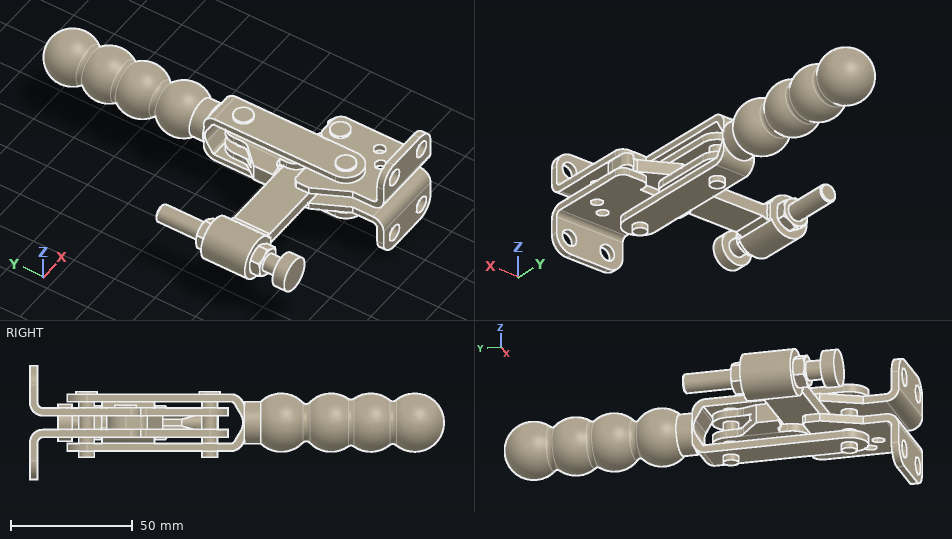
import cadquery as cq
import math


HANDLE_PIVOT = (0, 23.3)
ARM_PIVOT = (20.0, 39.4)
LINK_ARM_PIVOT = (0, 47.7)
LINK_HANDLE_PIVOT = (0, 74.0)
PIN_RADIUS = 3.2
PIN_HEAD_DIAMETER = 8.7
PIN_HEAD_RADIUS = PIN_HEAD_DIAMETER / 2
PIN_HEAD_THICKNESS = 1.0
LONG_PIN_BOTTOM = -14.3

ARM_THICKNESS = 5.6
SHEET_THICKNESS = 3.2
GAP_HALF = ARM_THICKNESS / 2
SHEET_OUTER = GAP_HALF + SHEET_THICKNESS

BASE_LEFT = -7.2
BASE_RIGHT = 27.8
LOBE_LEFT = -15.2
LOBE_TOP = 39.4
LOBE_STRAIGHT_BOTTOM = 31.5
LOBE_CORNER = 1.5
LOBE_FOOT = 15.3
TAB_LEFT = 12.5
TAB_TOP = 45.7
TAB_RADIUS = 4.1
BASE_HEIGHT = 46.9
FLANGE_HALF_HEIGHT = BASE_HEIGHT / 2
BEND_INNER_RADIUS = 2.2
BEND_OUTER_RADIUS = BEND_INNER_RADIUS + SHEET_THICKNESS
FLANGE_CORNER_RADIUS = 7.8
MOUNT_HOLES_X = (1.0, 21.0)
MOUNT_HOLE_Z = 15.8
MOUNT_HOLE_DIAMETER = 7.3
MOUNT_HOLE_RADIUS = MOUNT_HOLE_DIAMETER / 2
STOP_HOLES = ((20.0, 20.0), (12.6, 14.5))
STOP_HOLE_RADIUS = 2.5

ARM_TOP = 49.2
ARM_BOTTOM = 31.7
ARM_END_RADIUS = ARM_PIVOT[1] - ARM_BOTTOM
ARM_RIGHT = ARM_PIVOT[0] + ARM_END_RADIUS
BOSS_LEFT = -6.0
BOSS_TOP_LEFT = -2.5
BOSS_TOP_RIGHT = 3.2
BOSS_TOP = 54.7
SLOPE_FOOT = (19.6, 46)
KNOB_RADIUS = 2.7
KNOB_CENTRE = (ARM_RIGHT - KNOB_RADIUS, 45.7)
EYE_X = -55.9
EYE_RADIUS = 9.7
EYE_BOTTOM = 29.7
EYE_TOP = 51.3
NECK_START_X = -47.7
NECK_START_HALF = 4.5
NECK_STEP_X = -46.4
NECK_END_X = -44.0

LINK_WIDTH = 15.2
LINK_HALF_WIDTH = LINK_WIDTH / 2
NOSE_ROOT_X = -LINK_HALF_WIDTH
NOSE_TIP_X = -15.2
NOSE_TIP_HALF = 4.0
NOSE_WEB_X = NOSE_TIP_X + SHEET_THICKNESS
NOSE_WEB_HALF = 1.4
NOSE_TOP = 69.2
NOSE_FILLET_FOOT = (-8.7, 66.1)
NOSE_FILLET_RADIUS = 4.8
NOSE_SHOULDER = 58.8
NOSE_NOTCH_X = -10.9
NOSE_NOTCH_RADIUS = 1.7
NOSE_NOTCH_TOP = ARM_TOP + NOSE_NOTCH_RADIUS

STRAP_WIDTH = 16.0
STRAP_OUTER = 11.8
STRAP_INNER = STRAP_OUTER - SHEET_THICKNESS
STRAP_BEND_Y = 83.3
STRAP_END_Y = 88.3
STRAP_END_HALF = 6.8
STRAP_BEND_MIDPOINT = (86.5, 10.0)
STRAP_WEB_THICKNESS = 0.7
STRAP_SLOPE_START = (84.2, 7.7)
STRAP_SLOPE_END = (86.9, 3.0)

BALL_RADIUS = 12.1
BALL_CENTRES = (103.5, 123.9, 140.2, 170.4 - BALL_RADIUS)
BALL_FILLET = 2.0
COLLAR_RADIUS = 8.7

SPINDLE_DIAMETER = 8.0
SPINDLE_RADIUS = SPINDLE_DIAMETER / 2
SPINDLE_TOP = 77.5
SPINDLE_CHAMFER = 0.5
PAD_RADIUS = 7.7
PAD_BOTTOM = 11.6
PAD_THICKNESS = 5.8
NUT_ACROSS_FLATS = 12.1
NUT_CORNER_RADIUS = NUT_ACROSS_FLATS / math.sqrt(3)
NUT_THICKNESS = 5.0
NUT_CHAMFER_HEIGHT = 0.5
NUT_CHAMFER_DEPTH = 0.9


def cylinder_along_z(centre, radius, bottom, top):
    """Cylinder parallel to Z, centred at (X, Y), between two Z levels."""
    return cq.Workplane("XY").workplane(offset=bottom).center(*centre).circle(radius).extrude(top - bottom)


def cylinder_along_y(x, radius, bottom, top):
    """Cylinder parallel to Y, centred at X and Z = 0, between two Y levels."""
    return cq.Workplane("XZ", origin=(x, bottom, 0)).circle(radius).extrude(bottom - top)


def pin(centre, bottom, seat):
    """Rivet whose head rests on the Z level `seat`."""
    shank = cylinder_along_z(centre, PIN_RADIUS, bottom, seat)
    head = cylinder_along_z(centre, PIN_HEAD_RADIUS, seat, seat + PIN_HEAD_THICKNESS)
    return shank.union(head)


def pin_hole(centre):
    """Cutter for a pin passing right through the clamp."""
    return cylinder_along_z(centre, PIN_RADIUS, -2 * STRAP_OUTER, 2 * STRAP_OUTER)


def make_bracket():
    """Upper base plate, bent outward into a mounting flange along Y = 0."""
    outline = (
        cq.Workplane("XY")
        .moveTo(BASE_LEFT, 0)
        .lineTo(BASE_RIGHT, 0)
        .lineTo(BASE_RIGHT, TAB_TOP - TAB_RADIUS)
        .radiusArc((BASE_RIGHT - TAB_RADIUS, TAB_TOP), -TAB_RADIUS)
        .lineTo(TAB_LEFT + TAB_RADIUS, TAB_TOP)
        .radiusArc((TAB_LEFT, TAB_TOP - TAB_RADIUS), -TAB_RADIUS)
        .lineTo(TAB_LEFT, LOBE_TOP)
        .lineTo(LOBE_LEFT + LOBE_CORNER, LOBE_TOP)
        .lineTo(LOBE_LEFT, LOBE_TOP - LOBE_CORNER)
        .lineTo(LOBE_LEFT, LOBE_STRAIGHT_BOTTOM)
        .lineTo(BASE_LEFT, LOBE_FOOT)
        .close()
        .extrude(FLANGE_HALF_HEIGHT)
    )
    bent_sheet = (
        cq.Workplane("YZ", origin=(LOBE_LEFT, 0, 0))
        .moveTo(TAB_TOP, GAP_HALF)
        .lineTo(BEND_OUTER_RADIUS, GAP_HALF)
        .radiusArc((0, GAP_HALF + BEND_OUTER_RADIUS), BEND_OUTER_RADIUS)
        .lineTo(0, FLANGE_HALF_HEIGHT)
        .lineTo(SHEET_THICKNESS, FLANGE_HALF_HEIGHT)
        .lineTo(SHEET_THICKNESS, SHEET_OUTER + BEND_INNER_RADIUS)
        .radiusArc((SHEET_THICKNESS + BEND_INNER_RADIUS, SHEET_OUTER), -BEND_INNER_RADIUS)
        .lineTo(TAB_TOP, SHEET_OUTER)
        .close()
        .extrude(BASE_RIGHT - LOBE_LEFT)
    )
    bracket = outline.intersect(bent_sheet)
    bracket = bracket.edges("|Y").edges(">Z").fillet(FLANGE_CORNER_RADIUS)
    for x in MOUNT_HOLES_X:
        hole = cylinder_along_y(x, MOUNT_HOLE_RADIUS, 0, SHEET_THICKNESS)
        bracket = bracket.cut(hole.translate((0, 0, MOUNT_HOLE_Z)))
    for centre in STOP_HOLES:
        bracket = bracket.cut(cylinder_along_z(centre, STOP_HOLE_RADIUS, 0, SHEET_OUTER))
    return bracket


def make_base():
    """Two mirrored brackets held together by the handle pin and the arm pin."""
    bracket = make_bracket()
    base = bracket.union(bracket.mirror("XY"))
    base = base.union(pin(HANDLE_PIVOT, LONG_PIN_BOTTOM, STRAP_OUTER))
    return base.union(pin(ARM_PIVOT, -SHEET_OUTER, SHEET_OUTER))


def make_arm():
    """Flat clamping arm with a tapered neck and a spindle eye."""
    end_arc_middle = (
        ARM_PIVOT[0] + ARM_END_RADIUS * math.cos(math.radians(-45)),
        ARM_PIVOT[1] + ARM_END_RADIUS * math.sin(math.radians(-45)),
    )
    blade = (
        cq.Workplane("XY")
        .workplane(offset=-GAP_HALF)
        .moveTo(NECK_END_X, ARM_BOTTOM)
        .lineTo(ARM_PIVOT[0], ARM_BOTTOM)
        .threePointArc(end_arc_middle, (ARM_RIGHT, ARM_PIVOT[1]))
        .lineTo(ARM_RIGHT, KNOB_CENTRE[1])
        .threePointArc(
            (KNOB_CENTRE[0], KNOB_CENTRE[1] + KNOB_RADIUS),
            (KNOB_CENTRE[0] - KNOB_RADIUS, KNOB_CENTRE[1]),
        )
        .lineTo(*SLOPE_FOOT)
        .lineTo(BOSS_TOP_RIGHT, BOSS_TOP)
        .lineTo(BOSS_TOP_LEFT, BOSS_TOP)
        .lineTo(BOSS_LEFT, ARM_TOP)
        .lineTo(NECK_END_X, ARM_TOP)
        .close()
        .extrude(ARM_THICKNESS)
    )
    taper = (
        cq.Workplane("XZ", origin=(0, EYE_BOTTOM, 0))
        .polyline([
            (EYE_X, NECK_START_HALF),
            (NECK_START_X, NECK_START_HALF),
            (NECK_END_X, GAP_HALF),
            (NECK_END_X, -GAP_HALF),
            (NECK_START_X, -NECK_START_HALF),
            (EYE_X, -NECK_START_HALF),
        ])
        .close()
        .extrude(EYE_BOTTOM - EYE_TOP)
    )
    neck_outline = (
        cq.Workplane("XY")
        .workplane(offset=-NECK_START_HALF)
        .polyline([
            (EYE_X, EYE_BOTTOM),
            (NECK_STEP_X, EYE_BOTTOM),
            (NECK_STEP_X, ARM_BOTTOM),
            (NECK_END_X, ARM_BOTTOM),
            (NECK_END_X, ARM_TOP),
            (NECK_STEP_X, ARM_TOP),
            (NECK_STEP_X, EYE_TOP),
            (EYE_X, EYE_TOP),
        ])
        .close()
        .extrude(2 * NECK_START_HALF)
    )
    eye = cylinder_along_y(EYE_X, EYE_RADIUS, EYE_BOTTOM, EYE_TOP)
    arm = blade.union(taper.intersect(neck_outline)).union(eye)
    arm = arm.cut(cylinder_along_y(EYE_X, SPINDLE_RADIUS, EYE_BOTTOM, EYE_TOP))
    return arm.cut(pin_hole(ARM_PIVOT)).cut(pin_hole(LINK_ARM_PIVOT))


def make_link():
    """Two cheeks joined by a tapered nose, with the pins to the handle and to the arm."""
    length = LINK_HANDLE_PIVOT[1] - LINK_ARM_PIVOT[1]
    middle_y = (LINK_HANDLE_PIVOT[1] + LINK_ARM_PIVOT[1]) / 2
    cheek = (
        cq.Workplane("XY")
        .workplane(offset=GAP_HALF)
        .center(0, middle_y)
        .slot2D(length + LINK_WIDTH, LINK_WIDTH, 90)
        .extrude(SHEET_THICKNESS)
    )
    nose_section = (
        cq.Workplane("XZ", origin=(0, ARM_TOP, 0))
        .polyline([
            (NOSE_ROOT_X, SHEET_OUTER),
            (NOSE_TIP_X, NOSE_TIP_HALF),
            (NOSE_TIP_X, -NOSE_TIP_HALF),
            (NOSE_ROOT_X, -SHEET_OUTER),
            (NOSE_ROOT_X, -GAP_HALF),
            (NOSE_WEB_X, -NOSE_WEB_HALF),
            (NOSE_WEB_X, NOSE_WEB_HALF),
            (NOSE_ROOT_X, GAP_HALF),
        ])
        .close()
        .extrude(ARM_TOP - NOSE_TOP)
    )
    nose_outline = (
        cq.Workplane("XY")
        .workplane(offset=-SHEET_OUTER)
        .moveTo(NOSE_ROOT_X, NOSE_TOP)
        .radiusArc(NOSE_FILLET_FOOT, NOSE_FILLET_RADIUS)
        .lineTo(NOSE_TIP_X, NOSE_SHOULDER)
        .lineTo(NOSE_TIP_X, ARM_TOP)
        .lineTo(NOSE_NOTCH_X, ARM_TOP)
        .radiusArc((NOSE_NOTCH_X + NOSE_NOTCH_RADIUS, NOSE_NOTCH_TOP), NOSE_NOTCH_RADIUS)
        .lineTo(NOSE_ROOT_X, NOSE_NOTCH_TOP)
        .close()
        .extrude(2 * SHEET_OUTER)
    )
    link = cheek.union(cheek.mirror("XY")).union(nose_section.intersect(nose_outline))
    link = link.union(pin(LINK_HANDLE_PIVOT, LONG_PIN_BOTTOM, STRAP_OUTER))
    return link.union(cylinder_along_z(LINK_ARM_PIVOT, PIN_RADIUS, -SHEET_OUTER, SHEET_OUTER))


def make_handle():
    """Strap folded into a U, with rounded ends at the handle pivot."""
    pivot_y = HANDLE_PIVOT[1]
    half_width = STRAP_WIDTH / 2
    foot_y = pivot_y - half_width
    web_inner_y = STRAP_END_Y - STRAP_WEB_THICKNESS
    bend_y, bend_z = STRAP_BEND_MIDPOINT
    slope_start_y, slope_start_z = STRAP_SLOPE_START
    slope_end_y, slope_end_z = STRAP_SLOPE_END
    folded_sheet = (
        cq.Workplane("YZ", origin=(-half_width, 0, 0))
        .moveTo(foot_y, STRAP_OUTER)
        .lineTo(STRAP_BEND_Y, STRAP_OUTER)
        .threePointArc((bend_y, bend_z), (STRAP_END_Y, STRAP_END_HALF))
        .lineTo(STRAP_END_Y, -STRAP_END_HALF)
        .threePointArc((bend_y, -bend_z), (STRAP_BEND_Y, -STRAP_OUTER))
        .lineTo(foot_y, -STRAP_OUTER)
        .lineTo(foot_y, -STRAP_INNER)
        .lineTo(STRAP_BEND_Y, -STRAP_INNER)
        .lineTo(slope_start_y, -slope_start_z)
        .lineTo(slope_end_y, -slope_end_z)
        .threePointArc((web_inner_y, 0), (slope_end_y, slope_end_z))
        .lineTo(slope_start_y, slope_start_z)
        .lineTo(STRAP_BEND_Y, STRAP_INNER)
        .lineTo(foot_y, STRAP_INNER)
        .close()
        .extrude(STRAP_WIDTH)
    )
    outline = (
        cq.Workplane("XY")
        .workplane(offset=-STRAP_OUTER)
        .moveTo(-half_width, STRAP_END_Y)
        .lineTo(-half_width, pivot_y)
        .threePointArc((0, foot_y), (half_width, pivot_y))
        .lineTo(half_width, STRAP_END_Y)
        .close()
        .extrude(2 * STRAP_OUTER)
    )
    handle = folded_sheet.intersect(outline)
    return handle.cut(pin_hole(HANDLE_PIVOT)).cut(pin_hole(LINK_HANDLE_PIVOT))


def make_grip():
    """Turned grip: a collar and four balls, with a fillet tangent to each pair of balls."""
    collar_reach = math.sqrt(BALL_RADIUS**2 - COLLAR_RADIUS**2)
    profile = (
        cq.Workplane("XY")
        .moveTo(0, STRAP_END_Y)
        .lineTo(COLLAR_RADIUS, STRAP_END_Y)
        .lineTo(COLLAR_RADIUS, BALL_CENTRES[0] - collar_reach)
    )
    for lower, upper in zip(BALL_CENTRES, BALL_CENTRES[1:]):
        half_pitch = (upper - lower) / 2
        neck_y = lower + half_pitch
        fillet_centre_x = math.sqrt((BALL_RADIUS + BALL_FILLET) ** 2 - half_pitch**2)
        ball_share = BALL_RADIUS / (BALL_RADIUS + BALL_FILLET)
        tangent_x = fillet_centre_x * ball_share
        tangent_reach = half_pitch * ball_share
        profile = (
            profile
            .threePointArc((BALL_RADIUS, lower), (tangent_x, lower + tangent_reach))
            .threePointArc((fillet_centre_x - BALL_FILLET, neck_y), (tangent_x, upper - tangent_reach))
        )
    last = BALL_CENTRES[-1]
    profile = profile.threePointArc((BALL_RADIUS, last), (0, last + BALL_RADIUS)).close()
    return profile.revolve(360, (0, 0), (0, 1))


def make_nut(bottom):
    """Hexagon nut along Y, corners pointing to +Z and -Z, chamfered at both ends."""
    top = bottom + NUT_THICKNESS
    hexagon = (
        cq.Workplane("XZ", origin=(EYE_X, bottom, 0))
        .transformed(rotate=(0, 0, 90))
        .polygon(6, 2 * NUT_CORNER_RADIUS)
        .extrude(-NUT_THICKNESS)
    )
    turned = cylinder_along_y(EYE_X, NUT_CORNER_RADIUS, bottom, top)
    turned = turned.faces("<Y or >Y").chamfer(NUT_CHAMFER_HEIGHT, NUT_CHAMFER_DEPTH)
    return hexagon.intersect(turned)


def make_spindle():
    """Threaded rod with a pressure pad and the two nuts that clamp the eye."""
    rod = cylinder_along_y(EYE_X, SPINDLE_RADIUS, PAD_BOTTOM, SPINDLE_TOP)
    rod = rod.faces(">Y").chamfer(SPINDLE_CHAMFER)
    pad = cylinder_along_y(EYE_X, PAD_RADIUS, PAD_BOTTOM, PAD_BOTTOM + PAD_THICKNESS)
    spindle = rod.union(pad)
    for nut_bottom in (EYE_BOTTOM - NUT_THICKNESS, EYE_TOP):
        spindle = spindle.union(make_nut(nut_bottom))
    return spindle


base = make_base()
arm = make_arm()
link = make_link()
handle = make_handle()
grip = make_grip()
spindle = make_spindle()

result = cq.Compound.makeCompound([
    base.solids().val(),
    arm.solids().val(),
    link.solids().val(),
    handle.solids().val(),
    grip.solids().val(),
    spindle.solids().val(),
])